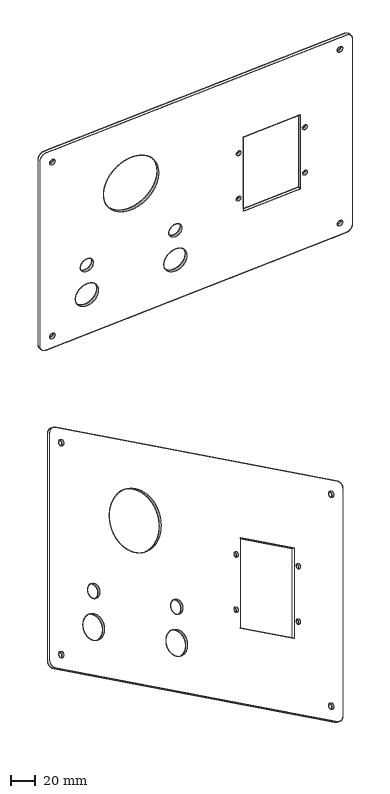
import cadquery as cq

panel_length = 300.0
panel_height = 200.0
panel_thickness = 3.0
corner_radius = 6.0

mount_hole_diameter = 5.5
mount_hole_inset = 12.0

window_y = 72.5
window_width = 55.0
window_height = 75.0
window_hole_diameter = 4.5
window_hole_spacing_y = 63.5
window_hole_spacing_z = 46.0

dial_y = -62.5
dial_z = 35.0
dial_diameter = 53.0

column_spacing = 85.0
small_hole_z = -30.0
small_hole_diameter = 12.5
large_hole_z = -60.0
large_hole_diameter = 22.2


def panel_at(y, z):
    """Work plane on the panel's middle, local axes along Y and Z, centred at (y, z)."""
    return cq.Workplane("YZ", origin=(0, y, z))


def hole_cutters(workplane, diameter):
    """Cylinders through the panel at every point on the workplane's stack."""
    return workplane.circle(diameter / 2).extrude(panel_thickness, both=True)


result = (
    panel_at(0, 0)
    .rect(panel_length, panel_height)
    .extrude(panel_thickness / 2, both=True)
    .edges("|X")
    .fillet(corner_radius)
)

mount_points = panel_at(0, 0).rect(
    panel_length - 2 * mount_hole_inset,
    panel_height - 2 * mount_hole_inset,
    forConstruction=True,
).vertices()
result = result.cut(hole_cutters(mount_points, mount_hole_diameter))

window = panel_at(window_y, 0).rect(window_width, window_height).extrude(panel_thickness, both=True)
window_points = panel_at(window_y, 0).rect(
    window_hole_spacing_y, window_hole_spacing_z, forConstruction=True
).vertices()
result = result.cut(window).cut(hole_cutters(window_points, window_hole_diameter))

result = result.cut(hole_cutters(panel_at(dial_y, dial_z), dial_diameter))

for side in (-1, 1):
    column_y = dial_y + side * column_spacing / 2
    result = result.cut(hole_cutters(panel_at(column_y, small_hole_z), small_hole_diameter))
    result = result.cut(hole_cutters(panel_at(column_y, large_hole_z), large_hole_diameter))